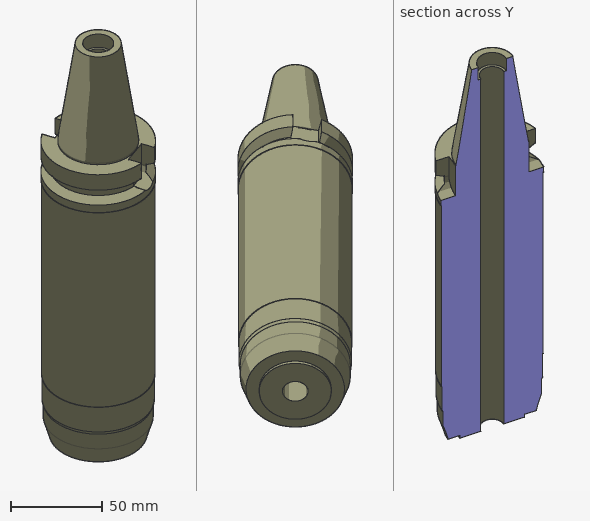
import cadquery as cq
import math

TAPER_LENGTH = 65.4
BODY_LENGTH = 202.0
FLANGE_TOP = -1.0
FLANGE_BOTTOM = -27.0
GROOVE_CENTRE = -16.6
NOSE_FACE = -BODY_LENGTH
COLLAR_HEIGHT = 2.0
NUT_CONE_HEIGHT = 11.3
NUT_BAND_HEIGHT = 10.0
NUT_CHAMFER_HEIGHT = 2.0
SLEEVE_HEIGHT = 17.0

GAUGE_DIAMETER = 44.45
TAPER_RATIO = 7 / 24
FLANGE_DIAMETER = 63.0
BODY_DIAMETER = 62.4
SLEEVE_DIAMETER = 61.8
NUT_DIAMETER = 60.4
NUT_END_DIAMETER = 54.0
COLLAR_DIAMETER = 39.6

GROOVE_FLOOR_DIAMETER = 53.0
GROOVE_FLOOR_WIDTH = 4.4
GROOVE_FLANK_ANGLE = 30.0

SLOT_WIDTH = 16.1
SLOT_FLOOR_DISTANCE = 22.5
SLOT_BOTTOM = -23.0

BORE_DIAMETER = 14.0
DRAWBAR_BORE_DIAMETER = 17.0
DRAWBAR_BORE_DEPTH = 9.0


def make_holder_body():
    """Revolve the outer half outline of the whole holder about Z."""
    small_end_diameter = GAUGE_DIAMETER - TAPER_LENGTH * TAPER_RATIO
    flank_depth = (FLANGE_DIAMETER - GROOVE_FLOOR_DIAMETER) / 2
    flank_height = flank_depth * math.tan(math.radians(GROOVE_FLANK_ANGLE))
    groove_floor_half = GROOVE_FLOOR_WIDTH / 2
    groove_mouth_half = groove_floor_half + flank_height

    nut_end = NOSE_FACE + COLLAR_HEIGHT
    nut_band_bottom = nut_end + NUT_CONE_HEIGHT
    nut_band_top = nut_band_bottom + NUT_BAND_HEIGHT
    sleeve_bottom = nut_band_top + NUT_CHAMFER_HEIGHT
    sleeve_top = sleeve_bottom + SLEEVE_HEIGHT

    corners = [
        (small_end_diameter, TAPER_LENGTH),
        (GAUGE_DIAMETER, 0),
        (GAUGE_DIAMETER, FLANGE_TOP),
        (FLANGE_DIAMETER, FLANGE_TOP),
        (FLANGE_DIAMETER, GROOVE_CENTRE + groove_mouth_half),
        (GROOVE_FLOOR_DIAMETER, GROOVE_CENTRE + groove_floor_half),
        (GROOVE_FLOOR_DIAMETER, GROOVE_CENTRE - groove_floor_half),
        (FLANGE_DIAMETER, GROOVE_CENTRE - groove_mouth_half),
        (FLANGE_DIAMETER, FLANGE_BOTTOM),
        (BODY_DIAMETER, FLANGE_BOTTOM),
        (BODY_DIAMETER, sleeve_top),
        (SLEEVE_DIAMETER, sleeve_top),
        (SLEEVE_DIAMETER, sleeve_bottom),
        (NUT_DIAMETER, nut_band_top),
        (NUT_DIAMETER, nut_band_bottom),
        (NUT_END_DIAMETER, nut_end),
        (COLLAR_DIAMETER, nut_end),
        (COLLAR_DIAMETER, NOSE_FACE),
    ]
    outline = [(0, TAPER_LENGTH)]
    outline += [(diameter / 2, level) for diameter, level in corners]
    outline += [(0, NOSE_FACE)]
    return cq.Workplane("YZ").polyline(outline).close().revolve(360, (0, 0), (0, 1))


def make_drive_slot(side):
    """Round-ended slot cutter on the +X (side = 1) or -X (side = -1) side."""
    slot_radius = SLOT_WIDTH / 2
    arc_centre = SLOT_BOTTOM + slot_radius
    return (
        cq.Workplane("YZ", origin=(side * SLOT_FLOOR_DISTANCE, 0, 0))
        .moveTo(-slot_radius, FLANGE_TOP)
        .lineTo(-slot_radius, arc_centre)
        .threePointArc((0, SLOT_BOTTOM), (slot_radius, arc_centre))
        .lineTo(slot_radius, FLANGE_TOP)
        .close()
        .extrude(side * FLANGE_DIAMETER / 2)
    )


def make_bore():
    """Through bore with the wider drawbar bore at the taper end."""
    through_bore = (
        cq.Workplane("XY", origin=(0, 0, NOSE_FACE))
        .circle(BORE_DIAMETER / 2)
        .extrude(BODY_LENGTH + TAPER_LENGTH)
    )
    drawbar_bore = (
        cq.Workplane("XY", origin=(0, 0, TAPER_LENGTH))
        .circle(DRAWBAR_BORE_DIAMETER / 2)
        .extrude(-DRAWBAR_BORE_DEPTH)
    )
    return through_bore.union(drawbar_bore)


result = make_holder_body()
for side in (-1, 1):
    result = result.cut(make_drive_slot(side))
result = result.cut(make_bore())